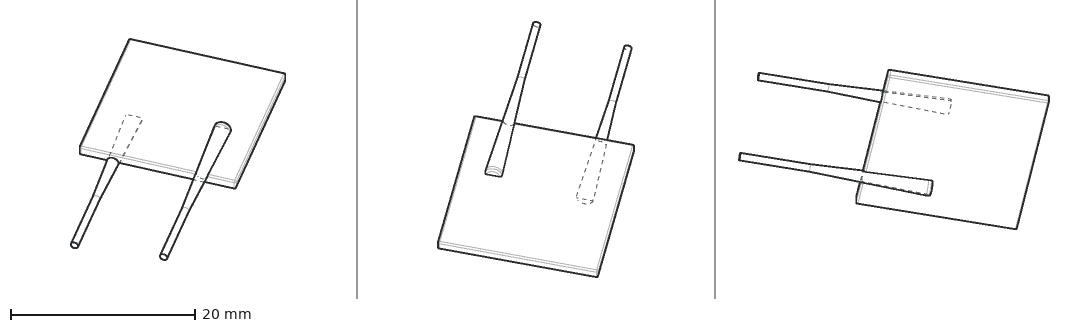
import cadquery as cq

plate_side = 17.83
plate_thickness = 1.23
edge_radius = 0.2

total_length = 31.45
overall_height = 3.1
lead_spacing = 10.15
wire_radius = 0.425
wire_length = 7.7
lead_end_from_back = 10.22
collar_length = 0.55
end_rounding = 0.22

plate_back = plate_side / 2
wire_tip = plate_back - total_length
taper_start = wire_tip + wire_length
lead_end = plate_back - lead_end_from_back
lead_height = plate_thickness / 2
lead_end_radius = overall_height / 2 - lead_height


def make_plate():
    """Square plate with every edge rounded."""
    plate = cq.Workplane("XY").box(plate_side, plate_side, plate_thickness)
    return plate.edges().fillet(edge_radius)


def make_lead(x, z):
    """Round wire that widens through a cone to a short collar with a rounded end, along Y at (x, z)."""
    profile = (
        cq.Workplane("XY")
        .moveTo(0, wire_tip)
        .lineTo(wire_radius, wire_tip)
        .lineTo(wire_radius, taper_start)
        .lineTo(lead_end_radius, lead_end - collar_length)
        .lineTo(lead_end_radius, lead_end)
        .lineTo(0, lead_end)
        .close()
    )
    lead = profile.revolve(360, (0, 0, 0), (0, 1, 0))
    return lead.faces(">Y").edges().fillet(end_rounding).translate((x, 0, z))


result = make_plate()
for side in (-1, 1):
    result = result.union(make_lead(side * lead_spacing / 2, side * lead_height))